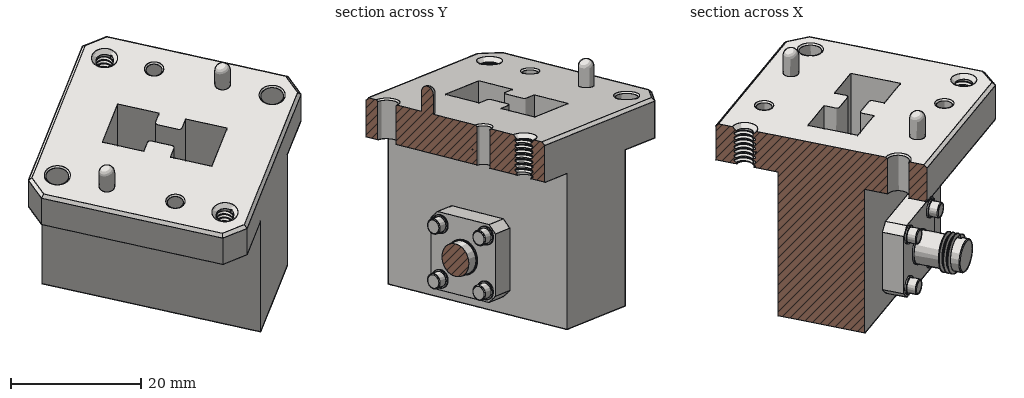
import cadquery as cq

flange_side = 35.0
flange_bottom = 25.25
flange_top = 31.75
flange_corner_cut = 3.0
flange_edge_chamfer = 0.5

body_depth = 14.4
floor_thickness = 1.4

channel_width = 17.5
channel_depth = 8.25
ridge_width = 4.25
ridge_gap = 3.5
ridge_fillet = 0.5

corner_hole_x = 13.4
hole_row_y = 12.7
inner_hole_x = 5.48
clearance_diameter = 3.5
tap_minor_diameter = 2.65
tap_major_diameter = 3.5
tap_pitch = 0.8
dowel_hole_diameter = 2.45
hole_chamfer = 0.25
pin_diameter = 2.4
pin_tip = 36.05

connector_z = 9
connector_overhang = 1.05
mount_side = 12.6
mount_thickness = 3.53
mount_corner_cut = 1.25
barrel_diameter = 5.35
barrel_end_chamfer = 0.15
collar_diameter = 5.62
collar_thickness = 0.25
barrel_thread_diameter = 6.35
barrel_thread_pitch = 0.72
barrel_thread_start = 14.78
barrel_thread_length = 2.5
barrel_thread_start_angle = 100

screw_offset = 4.45
screw_diameter = 2.45
screw_end = 12.55
screw_end_chamfer = 0.15
washer_diameter = 2.95

ridge_base_ratio = 0.9
ridge_crest_ratio = 0.15

overlap = 0.1

body_back = body_depth / 2
connector_end = flange_side / 2 + connector_overhang
mount_back = body_back + mount_thickness
collar_back = mount_back + collar_thickness


def rod(diameter, start, end, x=0, z=connector_z):
    """Cylinder parallel to Y between two Y positions."""
    plane = cq.Plane(origin=(x, start, z), xDir=(1, 0, 0), normal=(0, 1, 0))
    return cq.Workplane(plane).circle(diameter / 2).extrude(end - start)


def thread_ridge(base_radius, crest_radius, pitch, length):
    """Helical ridge of trapezoidal section about Z, starting at z = 0."""
    helix = cq.Wire.makeHelix(pitch, length, base_radius)
    half_base = ridge_base_ratio * pitch / 2
    half_crest = ridge_crest_ratio * pitch / 2
    profile = cq.Workplane("XZ").polyline(
        [
            (base_radius, -half_base),
            (crest_radius, -half_crest),
            (crest_radius, half_crest),
            (base_radius, half_base),
        ]
    )
    return profile.close().sweep(cq.Workplane(helix), isFrenet=True)


def make_flange():
    block = cq.Workplane("XY", origin=(0, 0, flange_bottom)).rect(flange_side, flange_side)
    block = block.extrude(flange_top - flange_bottom)
    return block.edges("|Z").chamfer(flange_corner_cut).faces(">Z").chamfer(flange_edge_chamfer)


def make_body():
    return cq.Workplane("XY").rect(flange_side, body_depth).extrude(flange_bottom)


def make_channel():
    height = flange_top - floor_thickness
    ridge_height = (channel_depth - ridge_gap) / 2
    ridge_y = (channel_depth + ridge_gap) / 4
    base = cq.Workplane("XY", origin=(0, 0, floor_thickness))
    channel = base.rect(channel_width, channel_depth).extrude(height)
    for side in (-1, 1):
        ridge = base.center(0, side * ridge_y).rect(ridge_width, ridge_height).extrude(height)
        inner_edges = "|Z and >Y" if side < 0 else "|Z and <Y"
        channel = channel.cut(ridge.edges(inner_edges).fillet(ridge_fillet))
    return channel


def flange_bore(diameter):
    """Cylinder about Z through the thickness of the flange."""
    bore = cq.Workplane("XY", origin=(0, 0, flange_bottom)).circle(diameter / 2)
    return bore.extrude(flange_top - flange_bottom)


def cone(bottom_diameter, top_diameter, bottom, top):
    """Truncated cone about Z between two heights."""
    base = cq.Vector(0, 0, bottom)
    return cq.Workplane(cq.Solid.makeCone(bottom_diameter / 2, top_diameter / 2, top - bottom, pnt=base))


def plain_hole(diameter):
    """Cutter for a through hole with a chamfered mouth."""
    mouth = cone(diameter, diameter + 2 * hole_chamfer, flange_top - hole_chamfer, flange_top)
    return flange_bore(diameter).union(mouth)


def tapped_hole():
    """Cutter for the smooth part of a tapped hole: bore, thread lead-in and chamfered mouth."""
    mouth_bottom = flange_top - hole_chamfer
    lead_in_bottom = mouth_bottom - tap_pitch / 2
    mouth = cone(tap_major_diameter, tap_major_diameter + 2 * hole_chamfer, mouth_bottom, flange_top)
    lead_in = cone(tap_minor_diameter, tap_major_diameter, lead_in_bottom, mouth_bottom)
    return flange_bore(tap_minor_diameter).union(lead_in).union(mouth)


def make_pin(x, y):
    dome_radius = pin_diameter / 2
    pin = cq.Workplane("XY", origin=(x, y, flange_top - overlap)).circle(dome_radius)
    pin = pin.extrude(pin_tip - dome_radius - flange_top + overlap)
    dome = cq.Workplane("XY", origin=(x, y, pin_tip - dome_radius)).sphere(dome_radius)
    return pin.union(dome)


def make_connector():
    plane = cq.Plane(origin=(0, body_back, connector_z), xDir=(1, 0, 0), normal=(0, 1, 0))
    mount = cq.Workplane(plane).rect(mount_side, mount_side).extrude(mount_thickness)
    mount = mount.edges("|Y").chamfer(mount_corner_cut)
    barrel = rod(barrel_diameter, mount_back, connector_end).faces(">Y").chamfer(barrel_end_chamfer)
    ridge = thread_ridge(
        barrel_diameter / 2 - overlap, barrel_thread_diameter / 2, barrel_thread_pitch, barrel_thread_length
    )
    ridge = ridge.rotate((0, 0, 0), (0, 0, 1), barrel_thread_start_angle)
    ridge = ridge.rotate((0, 0, 0), (1, 0, 0), -90).translate((0, barrel_thread_start, connector_z))
    connector = mount.union(rod(collar_diameter, mount_back, collar_back)).union(barrel.union(ridge))
    for x in (-screw_offset, screw_offset):
        for z in (connector_z - screw_offset, connector_z + screw_offset):
            screw = rod(screw_diameter, mount_back, screw_end, x, z).faces(">Y").chamfer(screw_end_chamfer)
            connector = connector.union(rod(washer_diameter, mount_back, collar_back, x, z)).union(screw)
    return connector


result = make_flange().union(make_body()).cut(make_channel()).union(make_connector())

clearance_hole = plain_hole(clearance_diameter)
dowel_hole = plain_hole(dowel_hole_diameter)
tap_hole = tapped_hole()
tap_groove = thread_ridge(
    tap_minor_diameter / 2 - overlap,
    tap_major_diameter / 2,
    tap_pitch,
    flange_top - flange_bottom - tap_pitch,
).translate((0, 0, flange_bottom))

for side in (-1, 1):
    corner_x = side * corner_hole_x
    inner_x = side * inner_hole_x
    y = side * hole_row_y
    result = result.cut(clearance_hole.translate((corner_x, y, 0)))
    result = result.cut(tap_hole.translate((corner_x, -y, 0)))
    result = result.cut(tap_groove.translate((corner_x, -y, 0)))
    result = result.cut(dowel_hole.translate((inner_x, -y, 0)))
    result = result.union(make_pin(inner_x, y))